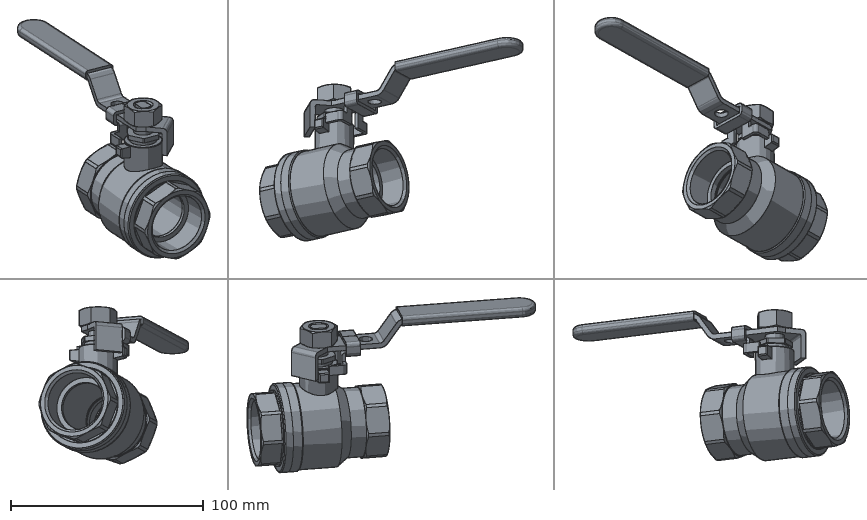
import cadquery as cq
import math


inlet_x = -34.0
outlet_x = 34.1
inlet_octagon_end_x = -21.6
neck_end_x = -13.5
shoulder_x = -7.7
flange_x = 12.8
joint_x = 18.2
cap_flange_end_x = 22.6
collar_end_x = 23.4

bore_d = 25.0
socket_d = 30.2
mouth_d = 33.0
socket_depth = 14.0
ring_groove_from_socket = 3.3
ring_groove_width = 0.9
ring_groove_d = 26.0
neck_d = 36.4
barrel_d = 45.0
flange_d = 46.5
flange_edge = 0.6
octagon_flats = 37.5
octagon_corner_d = 40.0
octagon_bevel = 0.7

boss_d = 20.0
boss_top = 35.0
boss_edge = 0.3
lug_width = 5.5
lug_reach = 15.2
lug_top = 34.3
lug_root_bottom = 28.2
lug_end_bottom = 29.0
lug_edge = 0.6

gland_thread_d = 14.3
gland_bottom = 29.8
gland_hex_bottom = 37.2
gland_hex_top = 39.8
gland_flats = 16.2
gland_corner_d = 18.3

stem_d = 10.0
stem_tip_d = 8.5
stem_flats = 6.0
stem_bottom = 26.8

nut_flats = 17.1
nut_mouth_d = 10.3
nut_height = 9.1
nut_face_d = 16.7
nut_bevel = 0.6

lever_width = 14.9
lever_thickness = 2.7
lever_bottom = 43.2
lever_rise = 12.5
crank_low_x = -32.2
crank_run = 9.1
crank_radius = 2.8
blade_corner_radius = 6.7
lever_hole_d = 7.0
lever_hole_x = -24.9
stop_angle = 45
stop_reach = 14.5
stop_bottom = 30.5
stop_outer_radius = 2.4
stop_inner_radius = 1.0
heel_corner = (4.9, -lever_width / 2)
heel_end = (7.6, -3.0)

grip_left = -114.9
grip_right = -42.8
grip_width = 17.0
grip_height = 5.4
grip_edge = 1.8

latch_left = -20.1
latch_length = 7.5
latch_width = 20.3
latch_bottom = 40.2
latch_height = 7.9
latch_wall = 1.8
latch_corner = 2.1
latch_inner_corner = 0.5
latch_seam = 0.1
leg_bend_radius = 1.6
leg_inner_y = 2.8
leg_outer_y = 7.7
arm_outer_y = 13.0
arm_end_x = -3.0
arm_bottom = 32.2
arm_top = 37.2
arm_outer_radius = 2.1
arm_inner_radius = 1.0

lever_top = lever_bottom + lever_thickness
nut_top = lever_top + nut_height
grip_mid_z = lever_bottom + lever_thickness / 2 + lever_rise
socket_end_x = inlet_x + socket_depth
crank_high_x = crank_low_x - crank_run
crank_angle = math.atan2(lever_rise, crank_run)
blade_left = grip_left + (grip_width - lever_width) / 2


def disc(x_start, x_end, diameter):
    """Cylinder along the bore axis."""
    return cq.Workplane("YZ").workplane(offset=x_start).circle(diameter / 2).extrude(x_end - x_start)


def post(z_start, z_end, diameter):
    """Cylinder along the stem axis."""
    return cq.Workplane("XY").workplane(offset=z_start).circle(diameter / 2).extrude(z_end - z_start)


def prism(plane, start, end, sides, flats, turn):
    """Regular prism given by its width across flats, turned about its axis."""
    across_corners = flats / math.cos(math.pi / sides)
    return (
        cq.Workplane(plane)
        .workplane(offset=start)
        .transformed(rotate=(0, 0, turn))
        .polygon(sides, across_corners)
        .extrude(end - start)
    )


def octagon_end(x_start, x_end, bevelled_faces):
    """Wrench octagon with its corners turned round and the chosen end faces bevelled."""
    turned = disc(x_start, x_end, octagon_corner_d)
    bevel_depth = (octagon_corner_d - octagon_flats) / 2
    turned = turned.faces(bevelled_faces).chamfer(octagon_bevel, bevel_depth)
    return prism("YZ", x_start, x_end, 8, octagon_flats, 0).intersect(turned)


def socket(face_x, inward):
    """Pipe socket with a 45 degree mouth; inward is +1 or -1 along X."""
    mouth_depth = (mouth_d - socket_d) / 2
    profile = [
        (face_x, 0),
        (face_x, mouth_d / 2),
        (face_x + inward * mouth_depth, socket_d / 2),
        (face_x + inward * socket_depth, socket_d / 2),
        (face_x + inward * socket_depth, 0),
    ]
    return cq.Workplane("XY").polyline(profile).close().revolve(360, (0, 0, 0), (1, 0, 0))


def lug(side):
    """Stop lug on one side of the boss, with a sloping underside and a bevelled end."""
    profile = [
        (0, lug_root_bottom),
        (side * boss_d / 2, lug_root_bottom),
        (side * lug_reach, lug_end_bottom),
        (side * lug_reach, lug_top),
        (0, lug_top),
    ]
    block = cq.Workplane("YZ").polyline(profile).close().extrude(lug_width / 2, both=True)
    return block.faces(">Y" if side > 0 else "<Y").chamfer(lug_edge)


def make_body():
    barrel_profile = [
        (inlet_octagon_end_x, 0),
        (inlet_octagon_end_x, neck_d / 2),
        (neck_end_x, neck_d / 2),
        (shoulder_x, barrel_d / 2),
        (flange_x, barrel_d / 2),
        (flange_x, 0),
    ]
    body = cq.Workplane("XY").polyline(barrel_profile).close().revolve(360, (0, 0, 0), (1, 0, 0))
    body = body.union(octagon_end(inlet_x, inlet_octagon_end_x, "<X or >X"))
    body = body.union(disc(flange_x, joint_x, flange_d).faces("<X").chamfer(flange_edge))
    body = body.union(post(0, boss_top, boss_d).faces(">Z").chamfer(boss_edge))
    for side in (-1, 1):
        body = body.union(lug(side))

    groove_x = socket_end_x + ring_groove_from_socket
    body = body.cut(socket(inlet_x, 1))
    body = body.cut(disc(socket_end_x, joint_x, bore_d))
    body = body.cut(disc(groove_x, groove_x + ring_groove_width, ring_groove_d))
    body = body.cut(post(gland_bottom, boss_top, gland_thread_d))
    return body.cut(post(stem_bottom, gland_bottom, stem_d))


def make_end_cap():
    cap = disc(joint_x, cap_flange_end_x, flange_d).faces(">X").chamfer(flange_edge)
    cap = cap.union(disc(cap_flange_end_x, collar_end_x, octagon_corner_d))
    cap = cap.union(octagon_end(collar_end_x, outlet_x, ">X"))
    cap = cap.cut(disc(joint_x, outlet_x, bore_d))
    return cap.cut(socket(outlet_x, -1))


def make_gland_nut():
    rounded = post(gland_hex_bottom, gland_hex_top, gland_corner_d)
    head = prism("XY", gland_hex_bottom, gland_hex_top, 6, gland_flats, 90).intersect(rounded)
    gland = head.union(post(gland_bottom, gland_hex_bottom, gland_thread_d))
    return gland.cut(post(gland_bottom, gland_hex_top, stem_d))


def stem_tip():
    """Upper stem with two flats, as it passes through the lever and the nut."""
    slab = cq.Workplane("XY").workplane(offset=lever_bottom).rect(stem_tip_d, stem_flats)
    return post(lever_bottom, nut_top, stem_tip_d).intersect(slab.extrude(nut_top - lever_bottom))


def make_stem():
    return post(stem_bottom, lever_bottom, stem_d).union(stem_tip())


def make_nut():
    corner_d = nut_flats / math.cos(math.pi / 6)
    bevel_depth = (corner_d - nut_face_d) / 2
    turned = post(lever_top, nut_top, corner_d).faces("<Z or >Z").chamfer(nut_bevel, bevel_depth)
    nut = prism("XY", lever_top, nut_top, 6, nut_flats, 0).intersect(turned)
    hole = post(lever_top, nut_top, stem_tip_d)
    nut = nut.cut(hole)
    rim = cq.selectors.RadiusNthSelector(0)
    return nut.faces(">Z").edges(rim).chamfer((nut_mouth_d - stem_tip_d) / 2)


def cranked_strip():
    """Flat strip that runs from the stem to the grip through two opposite bends."""
    corner_shift = lever_thickness * math.tan(crank_angle / 2)
    upper_low = (crank_low_x, lever_top)
    upper_high = (crank_high_x, lever_top + lever_rise)
    lower_low = (crank_low_x - corner_shift, lever_bottom)
    lower_high = (crank_high_x - corner_shift, lever_bottom + lever_rise)
    outline = [
        (0, lever_bottom),
        (0, lever_top),
        upper_low,
        upper_high,
        (blade_left, lever_top + lever_rise),
        (blade_left, lever_bottom + lever_rise),
        lower_high,
        lower_low,
    ]
    strip = cq.Workplane("XZ").polyline(outline).close().extrude(lever_width / 2, both=True)
    bends = [
        (upper_low, crank_radius),
        (lower_high, crank_radius),
        (upper_high, crank_radius + lever_thickness),
        (lower_low, crank_radius + lever_thickness),
    ]
    for (x, z), radius in bends:
        corner = cq.selectors.NearestToPointSelector((x, 0, z))
        strip = strip.edges("|Y").edges(corner).fillet(radius)
    return strip.edges("|Z and <X").fillet(blade_corner_radius)


def stop_tab():
    """Diagonal tab bent down past the boss to meet the lugs."""
    outline = [
        (0, lever_bottom),
        (0, lever_top),
        (stop_reach, lever_top),
        (stop_reach, stop_bottom),
        (stop_reach - lever_thickness, stop_bottom),
        (stop_reach - lever_thickness, lever_bottom),
    ]
    tab = cq.Workplane("XZ").polyline(outline).close().extrude(lever_width / 2, both=True)
    outer = cq.selectors.NearestToPointSelector((stop_reach, 0, lever_top))
    inner = cq.selectors.NearestToPointSelector((stop_reach - lever_thickness, 0, lever_bottom))
    tab = tab.edges("|Y").edges(outer).fillet(stop_outer_radius)
    tab = tab.edges("|Y").edges(inner).fillet(stop_inner_radius)
    return tab.rotate((0, 0, 0), (0, 0, 1), stop_angle)


def make_lever():
    """Strip with its stop tab, a heel filling the angle between them, and a lock hole."""
    heel = (
        cq.Workplane("XY")
        .workplane(offset=lever_bottom)
        .polyline([(0, 0), (0, -lever_width / 2), heel_corner, heel_end])
        .close()
        .extrude(lever_thickness)
    )
    lock_hole = cq.Workplane("XY").workplane(offset=lever_bottom).center(lever_hole_x, 0)
    lock_hole = lock_hole.circle(lever_hole_d / 2).extrude(lever_thickness)
    lever = cranked_strip().union(stop_tab()).union(heel)
    return lever.cut(stem_tip()).cut(lock_hole)


def make_grip():
    """Rounded sleeve over the lever blade, with a half-round outer end."""
    end_radius = grip_width / 2
    end_centre_x = grip_left + end_radius
    grip = (
        cq.Workplane("XY")
        .workplane(offset=grip_mid_z - grip_height / 2)
        .moveTo(grip_right, -end_radius)
        .lineTo(end_centre_x, -end_radius)
        .threePointArc((grip_left, 0), (end_centre_x, end_radius))
        .lineTo(grip_right, end_radius)
        .close()
        .extrude(grip_height)
    )
    grip = grip.edges("(<Z or >Z) and (not >X)").fillet(grip_edge)
    return grip.cut(cranked_strip())


def latch_frame():
    """Sleeve around the lever, closed at the top by a narrow seam."""
    middle_z = latch_bottom + latch_height / 2
    plane = cq.Workplane("YZ").workplane(offset=latch_left).center(0, middle_z)
    frame = plane.rect(latch_width, latch_height).extrude(latch_length)
    frame = frame.edges("|X").fillet(latch_corner)
    opening = plane.rect(latch_width - 2 * latch_wall, latch_height - 2 * latch_wall)
    opening = opening.extrude(latch_length).edges("|X").fillet(latch_inner_corner)
    seam = plane.center(0, latch_height / 2).rect(latch_seam, 2 * latch_wall).extrude(latch_length)
    return frame.cut(opening).cut(seam)


def latch_hook(side):
    """Leg bent down from the frame, with an arm that bends forward beside the boss."""
    leg_left = latch_left + latch_length
    leg_right = leg_left + latch_wall
    leg_top = latch_bottom + latch_wall
    leg = cq.Workplane("XY").box(
        latch_wall, leg_outer_y - leg_inner_y, leg_top - arm_bottom, centered=False
    )
    leg = leg.edges(">X and >Z").fillet(leg_bend_radius)
    leg = leg.translate((leg_left, leg_inner_y, arm_bottom))

    arm_path = [
        (leg_left, leg_inner_y),
        (leg_left, arm_outer_y),
        (arm_end_x, arm_outer_y),
        (arm_end_x, arm_outer_y - latch_wall),
        (leg_right, arm_outer_y - latch_wall),
        (leg_right, leg_inner_y),
    ]
    arm = cq.Workplane("XY").workplane(offset=arm_bottom).polyline(arm_path).close()
    arm = arm.extrude(arm_top - arm_bottom)
    outer = cq.selectors.NearestToPointSelector((leg_left, arm_outer_y, arm_bottom))
    inner = cq.selectors.NearestToPointSelector((leg_right, arm_outer_y - latch_wall, arm_bottom))
    arm = arm.edges("|Z").edges(outer).fillet(arm_outer_radius)
    arm = arm.edges("|Z").edges(inner).fillet(arm_inner_radius)
    hook = leg.union(arm)
    return hook if side > 0 else hook.mirror("XZ")


def make_latch():
    latch = latch_frame()
    for side in (-1, 1):
        latch = latch.union(latch_hook(side))
    return latch


body = make_body()
end_cap = make_end_cap()
gland_nut = make_gland_nut()
stem = make_stem()
nut = make_nut()
lever = make_lever()
grip = make_grip()
latch = make_latch()

result = cq.Compound.makeCompound(
    [
        body.val(),
        end_cap.val(),
        gland_nut.val(),
        stem.val(),
        nut.val(),
        lever.val(),
        grip.val(),
        latch.val(),
    ]
)